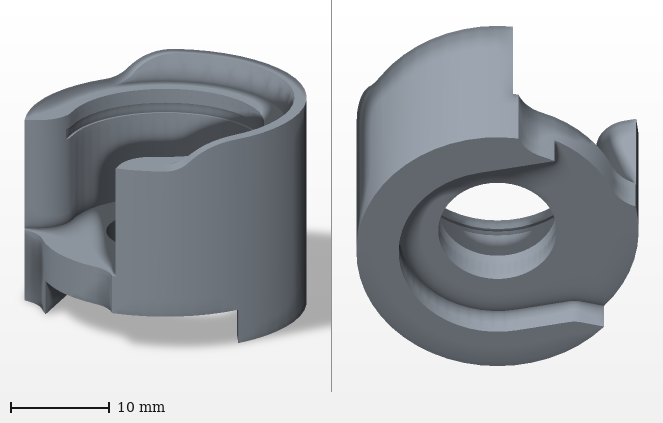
import cadquery as cq
import math

total_height = 22.0
body_height = 19.25
recess_depth = 3.6
floor_top = 7.6
groove_bottom = 16.65
groove_top = 17.75

body_radius = 28.57 / 2
bore_radius = 10.0
groove_radius = 10.3
hole_radius = 6.0
rim_inner_bottom_radius = 12.25
rim_inner_top_radius = 13.05
clear_radius = body_radius + 4.0

mouth_angle = 233.8
mouth_half_angle = 36.4
mouth_corner_radius = 3.6

floor_edge_radius = 12.7
floor_edge_angle = 234.1
floor_edge_half_angle = 22.7
scallop_radius = 4.0

recess_half_width = bore_radius
flare_angle = 24.0
flare_bend_radius = 2.9
flare_bend_start_y = -5.4

ramp_foot_length = 2.35
ramp_crest_length = 4.70
ramp_rise = total_height - body_height
ramp_foot_rise = ramp_rise * ramp_foot_length / (ramp_foot_length + ramp_crest_length)
left_ramp_angle = 38.7
left_ramp_start = -1.76
right_ramp_angle = 25.7
right_ramp_start = -1.16


def polar(radius, angle):
    return (radius * math.cos(math.radians(angle)), radius * math.sin(math.radians(angle)))


def point_around(center, radius, angle):
    dx, dy = polar(radius, angle)
    return (center[0] + dx, center[1] + dy)


def arc_middle(center, start, end):
    """Middle of the shorter arc from start to end about center."""
    radius = math.dist(center, start)
    chord_x = (start[0] + end[0]) / 2 - center[0]
    chord_y = (start[1] + end[1]) / 2 - center[1]
    stretch = radius / math.hypot(chord_x, chord_y)
    return (center[0] + chord_x * stretch, center[1] + chord_y * stretch)


def make_chamber():
    """Bore and mouth above the floor, with rounded corners between them."""
    corner_distance = bore_radius + mouth_corner_radius
    corner_offset = math.degrees(math.asin(mouth_corner_radius / corner_distance))
    wall_start_radius = math.sqrt(corner_distance**2 - mouth_corner_radius**2)

    def mouth_corner(sign):
        wall_angle = mouth_angle + sign * mouth_half_angle
        corner_angle = wall_angle + sign * corner_offset
        outer = polar(clear_radius, wall_angle)
        wall_start = polar(wall_start_radius, wall_angle)
        bore_end = polar(bore_radius, corner_angle)
        middle = arc_middle(polar(corner_distance, corner_angle), wall_start, bore_end)
        return outer, wall_start, middle, bore_end

    left_outer, left_wall, left_middle, left_bore = mouth_corner(-1)
    right_outer, right_wall, right_middle, right_bore = mouth_corner(1)
    return (
        cq.Workplane("XY", origin=(0, 0, floor_top))
        .moveTo(*left_outer)
        .lineTo(*left_wall)
        .threePointArc(left_middle, left_bore)
        .threePointArc(polar(bore_radius, mouth_angle + 180), right_bore)
        .threePointArc(right_middle, right_wall)
        .lineTo(*right_outer)
        .close()
        .extrude(total_height - floor_top)
    )


def make_floor_edge_cut():
    """Material outside the scalloped floor edge, through the full height."""
    scallop_distance = floor_edge_radius + scallop_radius
    tip_offset = math.degrees(
        math.acos(
            (scallop_distance**2 + body_radius**2 - scallop_radius**2)
            / (2 * scallop_distance * body_radius)
        )
    )

    def scallop(sign):
        junction_angle = floor_edge_angle + sign * floor_edge_half_angle
        tip_angle = junction_angle + sign * tip_offset
        junction = polar(floor_edge_radius, junction_angle)
        tip = polar(body_radius, tip_angle)
        middle = arc_middle(polar(scallop_distance, junction_angle), junction, tip)
        return junction, middle, tip, polar(clear_radius, tip_angle)

    left_junction, left_middle, left_tip, left_outer = scallop(-1)
    right_junction, right_middle, right_tip, right_outer = scallop(1)
    return (
        cq.Workplane("XY")
        .moveTo(*left_outer)
        .lineTo(*left_tip)
        .threePointArc(left_middle, left_junction)
        .threePointArc(polar(floor_edge_radius, floor_edge_angle), right_junction)
        .threePointArc(right_middle, right_tip)
        .lineTo(*right_outer)
        .threePointArc(polar(clear_radius, floor_edge_angle), left_outer)
        .close()
        .extrude(total_height)
    )


def make_underside_recess():
    """Round-ended slot in the underside, running out through the -Y side."""
    bend_center = (recess_half_width + flare_bend_radius, flare_bend_start_y)
    bend_middle = point_around(bend_center, flare_bend_radius, 180 + flare_angle / 2)
    bend_end = point_around(bend_center, flare_bend_radius, 180 + flare_angle)
    flare_run = bend_end[1] + clear_radius
    flare_end_x = bend_end[0] + flare_run * math.tan(math.radians(flare_angle))
    return (
        cq.Workplane("XY")
        .moveTo(-recess_half_width, -clear_radius)
        .lineTo(-recess_half_width, 0)
        .threePointArc((0, recess_half_width), (recess_half_width, 0))
        .lineTo(recess_half_width, flare_bend_start_y)
        .threePointArc(bend_middle, bend_end)
        .lineTo(flare_end_x, -clear_radius)
        .close()
        .extrude(recess_depth)
    )


def make_rim_opening():
    """Shallow cone that leaves a thin rim standing above the body."""
    return (
        cq.Workplane("XZ")
        .moveTo(0, body_height)
        .lineTo(rim_inner_bottom_radius, body_height)
        .lineTo(rim_inner_top_radius, total_height)
        .lineTo(0, total_height)
        .close()
        .revolve(360, (0, 0, 0), (0, 1, 0))
    )


def make_ramp_cut(uphill_angle, start, side):
    """Space above one rim ramp; side is +1 or -1, left or right of uphill."""
    middle_u = start + ramp_foot_length
    middle_z = body_height + ramp_foot_rise
    end_u = middle_u + ramp_crest_length
    uphill = polar(1, uphill_angle)
    rightward = polar(1, uphill_angle - 90)
    plane = cq.Plane(
        origin=(0, 0, 0),
        xDir=(uphill[0], uphill[1], 0),
        normal=(rightward[0], rightward[1], 0),
    )
    return (
        cq.Workplane(plane)
        .moveTo(-clear_radius, body_height)
        .lineTo(start, body_height)
        .tangentArcPoint((middle_u, middle_z), relative=False)
        .tangentArcPoint((end_u, total_height), relative=False)
        .lineTo(-clear_radius, total_height)
        .close()
        .extrude(-side * clear_radius)
    )


def make_disc(radius, bottom, top):
    return cq.Workplane("XY", origin=(0, 0, bottom)).circle(radius).extrude(top - bottom)


result = (
    make_disc(body_radius, 0, total_height)
    .cut(make_rim_opening())
    .cut(make_ramp_cut(left_ramp_angle, left_ramp_start, 1))
    .cut(make_ramp_cut(right_ramp_angle, right_ramp_start, -1))
    .cut(make_chamber())
    .cut(make_disc(groove_radius, groove_bottom, groove_top))
    .cut(make_disc(hole_radius, 0, floor_top))
    .cut(make_underside_recess())
    .cut(make_floor_edge_cut())
)